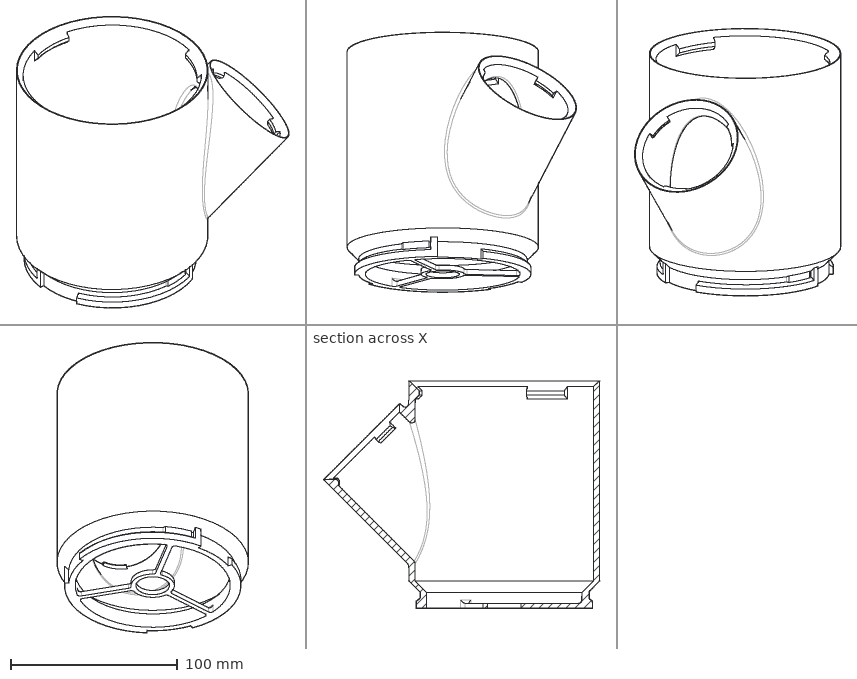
import cadquery as cq
import math

wall = 4.0
tube_radius = 57.5
bore_radius = tube_radius - wall
tube_length = 120.0

taper_height = 7.0
neck_height = 9.5
neck_radius = tube_radius - taper_height
neck_bore_radius = neck_radius - wall
shoulder_z = neck_height + taper_height
top_z = shoulder_z + tube_length

branch_radius = 32.5
branch_bore_radius = branch_radius - wall
branch_length = 121.0
branch_start = 40.0
branch_angle = 45.0
branch_origin_z = 14.5
outer_blend_radius = 2.0
inner_blend_radius = 2.0

rim_land = 0.5
lead_in = wall - rim_land
lock_count = 3
tab_depth = 2.5
branch_tab_depth = 1.75
tab_span = 30.0
first_tab_angle = 90.0

lug_radius = 53.0
lug_edge_z = 4.3
lug_top_z = 6.3
lug_start_angle = 200.7
stop_start_angle = 285.7
stop_end_angle = 290.0
detent_radius = neck_radius + 0.5
detent_start_angle = 264.0
detent_end_angle = 284.2
detent_ramp_angle = 1.5

hub_radius = 13.0
hub_bore_radius = 10.0
spoke_width = 3.0
spider_height = spoke_width
spoke_angles = (30.0, 150.0, 270.0)
spoke_blend_radius = 2.0

ROOT_OVERLAP = 1.0


def cylinder(radius, z_start, z_end):
    return cq.Workplane("XY").workplane(offset=z_start).circle(radius).extrude(z_end - z_start)


def cone(bottom_radius, top_radius, z_start, z_end):
    profile = [(0, z_start), (bottom_radius, z_start), (top_radius, z_end), (0, z_end)]
    return cq.Workplane("XZ").polyline(profile).close().revolve(360, (0, 0), (0, 1))


def ring_sector(profile, start_angle, end_angle):
    """Sweep a closed (radius, z) profile about Z between two angles."""
    sector = cq.Workplane("XZ").polyline(profile).close()
    sector = sector.revolve(end_angle - start_angle, (0, 0), (0, 1))
    return sector.rotate((0, 0, 0), (0, 0, 1), start_angle)


def polar(radius, angle):
    return radius * math.cos(math.radians(angle)), radius * math.sin(math.radians(angle))


def place_on_branch(shape):
    """Move a shape built along Z onto the branch axis."""
    tilted = shape.rotate((0, 0, 0), (1, 0, 0), -branch_angle)
    return tilted.translate((0, 0, branch_origin_z))


def blended_tee(main_radius, side_radius, blend_radius):
    """Upright cylinder joined to a branch cylinder, with the junction rounded."""
    side = place_on_branch(cylinder(side_radius, branch_start, branch_length))
    tee = cylinder(main_radius, shoulder_z, top_z).union(side)
    junction = [e for e in tee.edges().vals() if e.geomType() not in ("LINE", "CIRCLE")]
    return tee.newObject(junction).fillet(blend_radius)


def socket_tabs(radius, end_z, depth):
    """Tabs inside a socket, with an inner face as high as the tab is deep, a 45 degree underside,
    and left square on top."""
    root_radius = radius + ROOT_OVERLAP
    tip_radius = radius - depth
    tip_top_z = end_z - lead_in - depth
    tip_bottom_z = tip_top_z - depth
    root_bottom_z = tip_bottom_z - depth - ROOT_OVERLAP
    profile = [
        (root_radius, end_z),
        (tip_radius, end_z),
        (tip_radius, tip_bottom_z),
        (root_radius, root_bottom_z),
    ]
    tabs = cq.Workplane("XY")
    for index in range(lock_count):
        middle = first_tab_angle + index * 360.0 / lock_count
        tabs = tabs.union(ring_sector(profile, middle - tab_span / 2, middle + tab_span / 2))
    return tabs


def lead_in_cone(radius, end_z, depth):
    """Cutter for the lead-in, deep enough to slope the tab tops too."""
    return cone(radius - depth, radius + lead_in, end_z - lead_in - depth, end_z)


def bayonet():
    root_radius = neck_radius - ROOT_OVERLAP
    lug_profile = [
        (root_radius, 0),
        (lug_radius, 0),
        (lug_radius, lug_edge_z),
        (neck_radius, lug_top_z),
        (root_radius, lug_top_z),
    ]
    stop_top_z = neck_height + lug_radius - neck_radius
    stop_profile = [
        (root_radius, 0),
        (lug_radius, 0),
        (lug_radius, stop_top_z),
        (root_radius, stop_top_z - (lug_radius - root_radius)),
    ]
    lug = ring_sector(lug_profile, lug_start_angle, stop_end_angle)
    lug = lug.union(ring_sector(stop_profile, stop_start_angle, stop_end_angle)).union(detent())
    lugs = cq.Workplane("XY")
    for index in range(lock_count):
        lugs = lugs.union(lug.rotate((0, 0, 0), (0, 0, 1), index * 360.0 / lock_count))
    return lugs


def detent():
    """Low bump on the neck with a ramp at its leading end."""
    root_radius = neck_radius - ROOT_OVERLAP
    ramp_end_angle = detent_start_angle + detent_ramp_angle
    middle_angle = (detent_start_angle + detent_end_angle) / 2
    return (
        cq.Workplane("XY")
        .workplane(offset=lug_edge_z)
        .moveTo(*polar(root_radius, detent_start_angle))
        .lineTo(*polar(neck_radius, detent_start_angle))
        .lineTo(*polar(detent_radius, ramp_end_angle))
        .threePointArc(polar(detent_radius, middle_angle), polar(detent_radius, detent_end_angle))
        .lineTo(*polar(root_radius, detent_end_angle))
        .threePointArc(polar(root_radius, middle_angle), polar(root_radius, detent_start_angle))
        .close()
        .extrude(neck_height + detent_radius - neck_radius - lug_edge_z)
    )


def spider_windows():
    """Cutters for the three openings left between the hub, the spokes and the neck wall."""
    windows = cylinder(neck_bore_radius, 0, neck_height).cut(cylinder(hub_radius, 0, neck_height))
    for angle in spoke_angles:
        spoke = cq.Workplane("XY").rect(neck_radius, spoke_width).extrude(neck_height)
        spoke = spoke.translate((neck_radius / 2, 0, 0)).rotate((0, 0, 0), (0, 0, 1), angle)
        windows = windows.cut(spoke)
    return windows.edges("|Z").fillet(spoke_blend_radius)


def spider_top_void():
    """Space above the spider; its rounded foot blends the spoke tops into the neck wall."""
    void = cylinder(neck_bore_radius, spider_height, neck_height)
    return void.faces("<Z").edges().fillet(spoke_blend_radius)


def build():
    body = blended_tee(tube_radius, branch_radius, outer_blend_radius)
    body = body.union(cone(neck_radius, tube_radius, neck_height, shoulder_z))
    body = body.union(cylinder(neck_radius, 0, neck_height)).union(bayonet())

    body = body.cut(blended_tee(bore_radius, branch_bore_radius, inner_blend_radius))
    body = body.cut(cone(neck_bore_radius, bore_radius, neck_height, shoulder_z))
    body = body.cut(spider_top_void()).cut(spider_windows())
    body = body.cut(cylinder(hub_bore_radius, 0, neck_height))

    branch_tabs = socket_tabs(branch_bore_radius, branch_length, branch_tab_depth)
    body = body.union(socket_tabs(bore_radius, top_z, tab_depth))
    body = body.union(place_on_branch(branch_tabs))

    branch_lead_in = lead_in_cone(branch_bore_radius, branch_length, branch_tab_depth)
    body = body.cut(lead_in_cone(bore_radius, top_z, tab_depth))
    return body.cut(place_on_branch(branch_lead_in))


result = build()